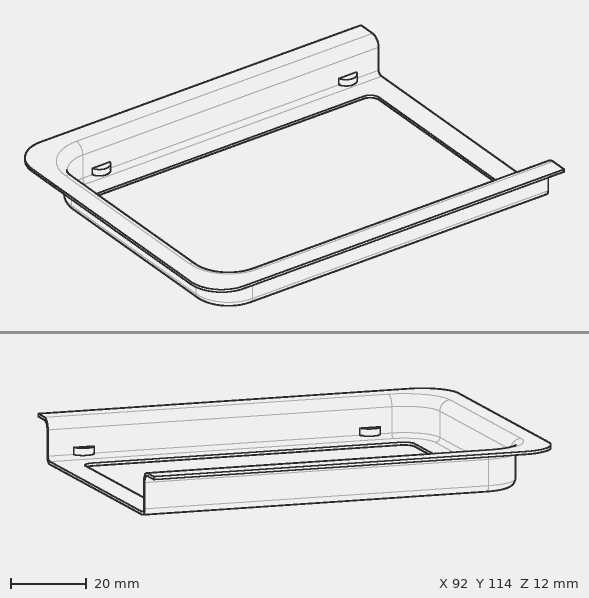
import cadquery as cq

length = 114.0
width = 92.0
height = 12.0
sheet = 0.8
flange_corner = 10.0
wall_setback = 7.2
wall_corner = 10.7
bend_outside = 2.0
window_margin = 15.0
window_back_margin = 7.0
window_corner = 3.0
tab_radius = 3.0
tab_bottom = 1.9
tab_height = 1.9
tab_back_distance = 10.0
tab_front_distance = 23.9

back = length / 2
front = -back
overrun = 22.8
wall_half_width = width / 2 - wall_setback
bend_inside = bend_outside - sheet
mouth_radius = bend_outside + sheet
flange_bottom = height - sheet


def rounded_plate(inset, corner, bottom, top):
    """Rounded block inset from the flange outline and overrunning the back end."""
    plate_length = length + overrun - 2 * inset
    return (
        cq.Workplane("XY", origin=(0, overrun / 2, bottom))
        .rect(width - 2 * inset, plate_length)
        .extrude(top - bottom)
        .edges("|Z")
        .fillet(corner)
    )


def round_wall_edge(body, z, radius):
    """Round the loop of edges where the wall meets the given level."""
    tolerance = 0.01
    box_inset = wall_setback - tolerance
    reach_x = width / 2 - box_inset
    reach_y = length / 2 - box_inset
    loop = cq.selectors.BoxSelector(
        (-reach_x, -reach_y, z - tolerance),
        (reach_x, reach_y + overrun, z + tolerance),
    )
    return body.edges(loop).fillet(radius)


def make_tray():
    flange = rounded_plate(0, flange_corner, flange_bottom, height)
    pan = rounded_plate(wall_setback, wall_corner, 0, height)
    pan = pan.faces("<Z").edges().fillet(bend_outside)
    body = round_wall_edge(flange.union(pan), flange_bottom, bend_outside)

    cavity = rounded_plate(wall_setback + sheet, wall_corner - sheet, sheet, height)
    cavity = cavity.faces("<Z").edges().fillet(bend_inside)
    return round_wall_edge(body.cut(cavity), height, mouth_radius)


def trim_back(body):
    """Cut the tray square at its back end, leaving that end open."""
    waste = cq.Workplane("XY").box(width, overrun, height, centered=(True, False, False))
    return body.cut(waste.translate((0, back, 0)))


def make_window():
    window_length = length - window_margin - window_back_margin
    window_y = (window_margin - window_back_margin) / 2
    return (
        cq.Workplane("XY", origin=(0, window_y, 0))
        .rect(width - 2 * window_margin, window_length)
        .extrude(sheet)
        .edges("|Z")
        .fillet(window_corner)
    )


def make_tab(side, y):
    """Half-disc raised above the floor, centred on the outer face of a side wall."""
    disc = (
        cq.Workplane("XY", origin=(side * wall_half_width, y, tab_bottom))
        .circle(tab_radius)
        .extrude(tab_height)
    )
    keep = cq.Workplane("XY").box(2 * (wall_half_width - sheet / 2), length, 2 * height)
    return disc.intersect(keep)


result = trim_back(make_tray()).cut(make_window())
for side in (-1, 1):
    for tab_y in (back - tab_back_distance, front + tab_front_distance):
        result = result.union(make_tab(side, tab_y))